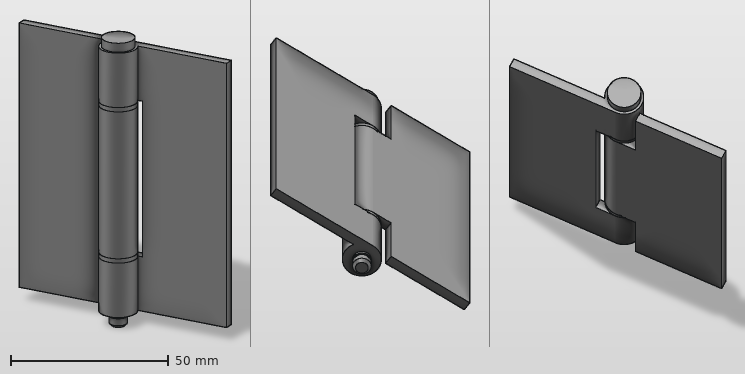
import cadquery as cq


hinge_width = 75.0
knuckle_diameter = 12.4
leaf_thickness = 3.1
leaf_clearance = 0.8
middle_knuckle_length = 50
end_knuckle_length = 18.5
washer_thickness = 1.5

pin_diameter = 6.0
head_diameter = 10.7
head_height = 3.0
tail_length = 5.0
tail_chamfer = 1.0
groove_offset = 1.0
groove_width = 0.7
groove_depth = 0.5

knuckle_radius = knuckle_diameter / 2
pin_radius = pin_diameter / 2
leaf_reach = hinge_width / 2
leaf_edge = knuckle_radius + leaf_clearance
leaf_front = knuckle_radius - leaf_thickness
lower_washer_base = end_knuckle_length
middle_knuckle_base = lower_washer_base + washer_thickness
upper_washer_base = middle_knuckle_base + middle_knuckle_length
upper_knuckle_base = upper_washer_base + washer_thickness
leaf_height = upper_knuckle_base + end_knuckle_length


def cylinder(radius, base, height):
    """Solid cylinder on the pin axis."""
    return cq.Workplane("XY").workplane(offset=base).circle(radius).extrude(height)


def ring(base, height):
    """Cylinder of knuckle diameter with the pin hole through it."""
    return cylinder(knuckle_radius, base, height).cut(cylinder(pin_radius, base, height))


def plate(inner_x, outer_x, base, height):
    """Flat plate whose back face is tangent to the knuckles."""
    return cq.Workplane("XY").box(
        outer_x - inner_x, leaf_thickness, height, centered=False
    ).translate((inner_x, leaf_front, base))


def make_leaf(side, knuckles):
    """Leaf on the given X side (-1 or 1) with knuckles listed as (base, length)."""
    inner_x, outer_x = sorted((side * leaf_edge, side * leaf_reach))
    leaf = plate(inner_x, outer_x, 0, leaf_height)
    web_start, web_end = sorted((0, side * leaf_edge))
    for base, length in knuckles:
        web = plate(web_start, web_end, base, length)
        web = web.cut(cylinder(pin_radius, base, length))
        leaf = leaf.union(web).union(ring(base, length))
    return leaf


def make_washer(base):
    """Flat washer between neighbouring knuckles."""
    return ring(base, washer_thickness)


def make_pin():
    """Headed pin with a retaining groove and a chamfered tail."""
    shank = cylinder(pin_radius, -tail_length, leaf_height + tail_length)
    shank = shank.faces("<Z").chamfer(tail_chamfer)
    groove_base = -groove_offset - groove_width
    groove = cylinder(pin_radius, groove_base, groove_width).cut(
        cylinder(pin_radius - groove_depth, groove_base, groove_width)
    )
    head = cylinder(head_diameter / 2, leaf_height, head_height)
    return shank.cut(groove).union(head)


left_leaf = make_leaf(-1, [(middle_knuckle_base, middle_knuckle_length)])
right_leaf = make_leaf(1, [(0, end_knuckle_length), (upper_knuckle_base, end_knuckle_length)])
washers = [make_washer(base) for base in (lower_washer_base, upper_washer_base)]
pin = make_pin()

bodies = [left_leaf, right_leaf, pin, *washers]
result = cq.Compound.makeCompound([body.solids().val() for body in bodies])